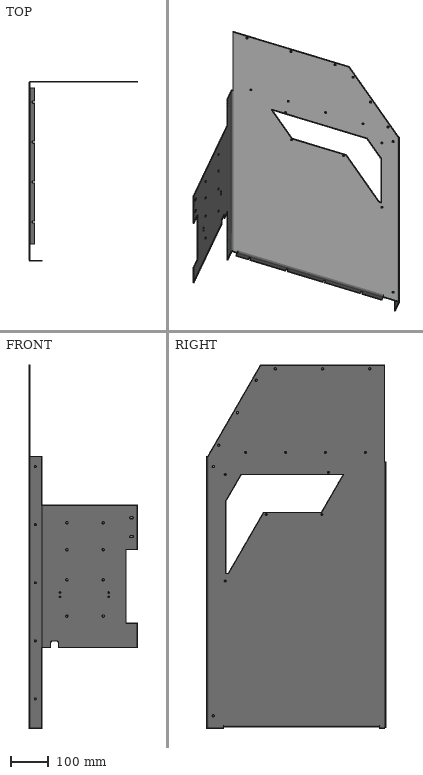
import cadquery as cq
import math

DEPTH = 287.0
WIDTH = 477.0
HEIGHT = 963.5

SHEET = 2.0
BEND_OUTER = 4.0
BEND_INNER = BEND_OUTER - SHEET
BEND_LEG = 2 * BEND_OUTER

SLANT_ANGLE = math.radians(60)
PANEL_FRONT = BEND_OUTER
PANEL_BACK = WIDTH - BEND_OUTER
FRONT_EDGE_TOP = 722.0

SIDE_FLANGE_DEPTH = 34.0
BACK_FLANGE_BOTTOM = 2.0
BACK_FLANGE_TOP = 707.0
FOOT_DEPTH = 14.0
FOOT_BOTTOM = 3.4
FOOT_FRONT = 45.0
FOOT_BACK = 460.0

WINDOW_FRONT = 52.0
WINDOW_TOP = 673.5
WINDOW_STEP = 573.0
WINDOW_BOTTOM = 411.0
WINDOW_TOP_FRONT = 92.5
WINDOW_TOP_BACK = 363.0
WINDOW_TIP_WIDTH = 6.3

PLATE_FRONT_FACE = WIDTH - SHEET
PLATE_BOTTOM = 214.0
PLATE_TOP = 593.0
RECESS_BOTTOM = 279.0
RECESS_TOP = 474.0
RECESS_DEPTH = 30.0
CABLE_NOTCH_CENTER = 67.0
CABLE_NOTCH_WIDTH = 20.0
CABLE_NOTCH_HEIGHT = 17.0
CABLE_NOTCH_RADIUS = 4.0

PIN_HOLE = 3.2
SMALL_HOLE = 4.2
EDGE_HOLE = 5.0
PLATE_HOLE = 5.4

TOP_ROW_HEIGHT = HEIGHT - 10.0
TOP_ROW_START = 183.0
TOP_ROW_PITCH = 125.0
TOP_ROW_COUNT = 3
SLANT_ROW_START = (33.0, 752.0)
SLANT_ROW_PITCH = 99.0
SLANT_ROW_COUNT = 3
FRONT_HOLE_Y = 18.0
FRONT_HOLE_HEIGHTS = (34.0, 695.0)
MIDDLE_ROW_HEIGHT = 732.0
CROSS_ROW_START = 104.0
CROSS_ROW_PITCH = 106.0
CROSS_ROW_COUNT = 4
WINDOW_HOLES = [(324.0, 679.0), (50.0, 673.5), (306.0, 567.5), (159.0, 567.5), (50.0, 391.0)]

FOOT_SLOT_CENTER = 11.0
FOOT_SLOT_WIDTH = 5.0

FLANGE_HOLE_X = 16.0
FLANGE_HOLE_START = 78.0
FLANGE_HOLE_PITCH = 154.0
FLANGE_HOLE_COUNT = 5

PLATE_HOLE_COLUMNS = (100.0, 197.0)
PLATE_HOLE_ROWS = (298.0, 394.0, 474.0, 545.0)
PIN_PAIR_COLUMNS = (82.0, 211.0)
PIN_PAIR_BOTTOM = 349.0
PIN_PAIR_PITCH = 12.0

TAB_SLOT_X = 272.0
TAB_SLOT_HEIGHTS = (509.0, 559.0)
TAB_SLOT_LENGTH = 10.0
TAB_SLOT_WIDTH = 4.2


def box(x_range, y_range, z_range):
    """Box between the given limits."""
    sizes = [high - low for low, high in (x_range, y_range, z_range)]
    corner = cq.Vector(x_range[0], y_range[0], z_range[0])
    return cq.Workplane("XY").box(*sizes, centered=False).translate(corner)


def angle_profile(workplane, leg_a, leg_b):
    """Closed sheet profile with a rounded bend at the origin.

    The legs run along +local x (leg_a) and +local y (leg_b)."""
    diagonal = math.sqrt(0.5)
    outer_mid = BEND_OUTER * (1 - diagonal)
    inner_mid = BEND_OUTER - BEND_INNER * diagonal
    return (
        workplane.moveTo(BEND_OUTER, 0)
        .lineTo(leg_a, 0)
        .lineTo(leg_a, SHEET)
        .lineTo(BEND_OUTER, SHEET)
        .threePointArc((inner_mid, inner_mid), (SHEET, BEND_OUTER))
        .lineTo(SHEET, leg_b)
        .lineTo(0, leg_b)
        .lineTo(0, BEND_OUTER)
        .threePointArc((outer_mid, outer_mid), (BEND_OUTER, 0))
        .close()
    )


def slant_run(rise):
    """Distance along Y covered by a 60 degree edge that climbs by rise."""
    return rise / math.tan(SLANT_ANGLE)


def make_panel():
    top_front = PANEL_FRONT + slant_run(HEIGHT - FRONT_EDGE_TOP)
    outline = [
        (PANEL_FRONT, 0),
        (FOOT_FRONT, 0),
        (FOOT_FRONT, FOOT_BOTTOM + BEND_OUTER),
        (FOOT_BACK, FOOT_BOTTOM + BEND_OUTER),
        (FOOT_BACK, 0),
        (PANEL_BACK, 0),
        (PANEL_BACK, HEIGHT),
        (top_front, HEIGHT),
        (PANEL_FRONT, FRONT_EDGE_TOP),
    ]
    return cq.Workplane("YZ").polyline(outline).close().extrude(SHEET)


def make_front_flange():
    flange = angle_profile(cq.Workplane("XY"), SIDE_FLANGE_DEPTH, BEND_LEG)
    return flange.extrude(FRONT_EDGE_TOP)


def make_back_flange():
    flange = angle_profile(cq.Workplane("XY"), SIDE_FLANGE_DEPTH, BEND_LEG)
    flange = flange.extrude(BACK_FLANGE_TOP - BACK_FLANGE_BOTTOM).mirror("XZ")
    return flange.translate((0, WIDTH, BACK_FLANGE_BOTTOM))


def make_foot():
    foot = angle_profile(cq.Workplane("XZ"), FOOT_DEPTH, BEND_LEG)
    foot = foot.extrude(FOOT_FRONT - FOOT_BACK)
    return foot.translate((0, FOOT_FRONT, FOOT_BOTTOM))


def make_mounting_plate():
    y_range = (PLATE_FRONT_FACE, WIDTH)
    plate = box((BEND_OUTER, DEPTH), y_range, (PLATE_BOTTOM, PLATE_TOP))
    recess = box((DEPTH - RECESS_DEPTH, DEPTH), y_range, (RECESS_BOTTOM, RECESS_TOP))
    half_notch = CABLE_NOTCH_WIDTH / 2
    notch = box(
        (CABLE_NOTCH_CENTER - half_notch, CABLE_NOTCH_CENTER + half_notch),
        y_range,
        (PLATE_BOTTOM, PLATE_BOTTOM + CABLE_NOTCH_HEIGHT),
    )
    notch = notch.edges("|Y and >Z").fillet(CABLE_NOTCH_RADIUS)
    return plate.cut(recess).cut(notch)


def make_window():
    tip_back = WINDOW_FRONT + WINDOW_TIP_WIDTH
    front_cut_rise = (WINDOW_TOP_FRONT - WINDOW_FRONT) * math.tan(SLANT_ANGLE)
    outline = [
        (WINDOW_FRONT, WINDOW_BOTTOM),
        (tip_back, WINDOW_BOTTOM),
        (tip_back + slant_run(WINDOW_STEP - WINDOW_BOTTOM), WINDOW_STEP),
        (WINDOW_TOP_BACK - slant_run(WINDOW_TOP - WINDOW_STEP), WINDOW_STEP),
        (WINDOW_TOP_BACK, WINDOW_TOP),
        (WINDOW_TOP_FRONT, WINDOW_TOP),
        (WINDOW_FRONT, WINDOW_TOP - front_cut_rise),
    ]
    return cq.Workplane("YZ").polyline(outline).close().extrude(SHEET)


def panel_drills(points, diameter):
    """Cylinders through the panel at (y, z) points."""
    return cq.Workplane("YZ").pushPoints(points).circle(diameter / 2).extrude(SHEET)


def side_plane(points, y_start):
    """Points at (x, z) on a sheet face that looks toward -Y."""
    return cq.Workplane("XZ", origin=(0, y_start, 0)).pushPoints(points)


def side_drills(points, diameter, y_start):
    """Cylinders through a sheet that faces Y, at (x, z) points."""
    return side_plane(points, y_start).circle(diameter / 2).extrude(-SHEET)


def row(start, pitch, count):
    return [start + pitch * i for i in range(count)]


def make_foot_slots(y_positions):
    """Open round-ended slots in the free edge of the foot."""
    z_range = (FOOT_BOTTOM, FOOT_BOTTOM + SHEET)
    points = [(FOOT_SLOT_CENTER, y) for y in y_positions]
    plane = cq.Workplane("XY", origin=(0, 0, FOOT_BOTTOM))
    slots = plane.pushPoints(points).circle(FOOT_SLOT_WIDTH / 2).extrude(SHEET)
    for y in y_positions:
        y_range = (y - FOOT_SLOT_WIDTH / 2, y + FOOT_SLOT_WIDTH / 2)
        slots = slots.union(box((FOOT_SLOT_CENTER, FOOT_DEPTH), y_range, z_range))
    return slots


body = make_panel()
for piece in (make_front_flange(), make_back_flange(), make_foot(), make_mounting_plate()):
    body = body.union(piece)
body = body.cut(make_window())

cross_row = row(CROSS_ROW_START, CROSS_ROW_PITCH, CROSS_ROW_COUNT)
slant_row = [
    (
        SLANT_ROW_START[0] + distance * math.cos(SLANT_ANGLE),
        SLANT_ROW_START[1] + distance * math.sin(SLANT_ANGLE),
    )
    for distance in row(0, SLANT_ROW_PITCH, SLANT_ROW_COUNT)
]
edge_holes = [(y, TOP_ROW_HEIGHT) for y in row(TOP_ROW_START, TOP_ROW_PITCH, TOP_ROW_COUNT)]
edge_holes += slant_row
edge_holes += [(FRONT_HOLE_Y, z) for z in FRONT_HOLE_HEIGHTS]
small_holes = [(y, MIDDLE_ROW_HEIGHT) for y in cross_row] + WINDOW_HOLES
body = body.cut(panel_drills(edge_holes, EDGE_HOLE))
body = body.cut(panel_drills(small_holes, SMALL_HOLE))

body = body.cut(make_foot_slots(cross_row))

flange_heights = row(FLANGE_HOLE_START, FLANGE_HOLE_PITCH, FLANGE_HOLE_COUNT)
flange_holes = [(FLANGE_HOLE_X, z) for z in flange_heights]
body = body.cut(side_drills(flange_holes, EDGE_HOLE, 0))

plate_holes = [(x, z) for x in PLATE_HOLE_COLUMNS for z in PLATE_HOLE_ROWS]
pin_heights = (PIN_PAIR_BOTTOM, PIN_PAIR_BOTTOM + PIN_PAIR_PITCH)
pin_holes = [(x, z) for x in PIN_PAIR_COLUMNS for z in pin_heights]
tab_slots = [(TAB_SLOT_X, z) for z in TAB_SLOT_HEIGHTS]
slot_cutter = side_plane(tab_slots, PLATE_FRONT_FACE).slot2D(TAB_SLOT_LENGTH, TAB_SLOT_WIDTH)
body = body.cut(side_drills(plate_holes, PLATE_HOLE, PLATE_FRONT_FACE))
body = body.cut(side_drills(pin_holes, PIN_HOLE, PLATE_FRONT_FACE))
body = body.cut(slot_cutter.extrude(-SHEET))

result = body